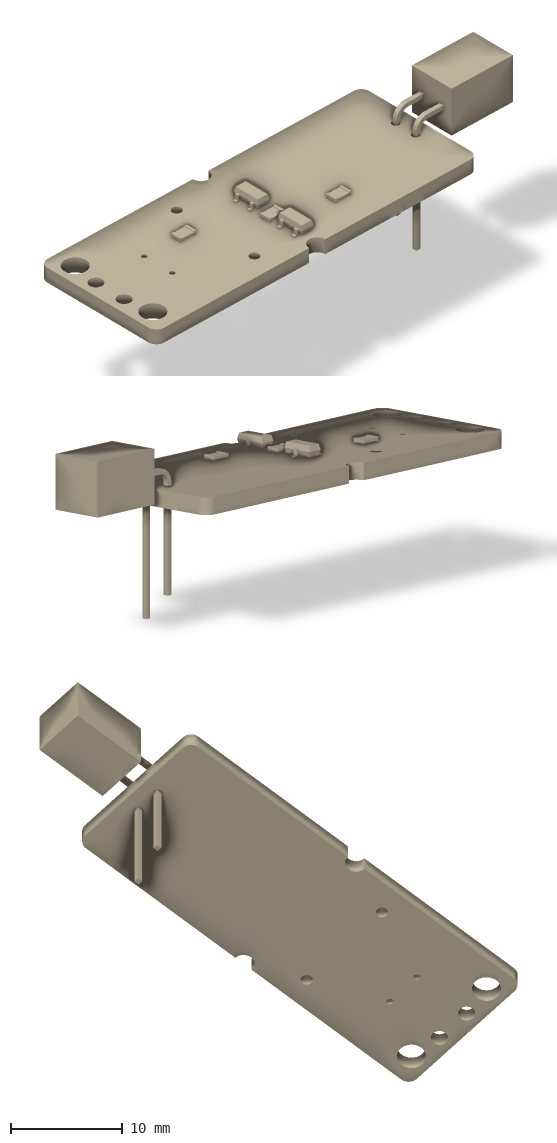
import cadquery as cq
import math

BOARD_WIDTH = 15.0
BOARD_LENGTH = 40.0
BOARD_THICKNESS = 1.6
CORNER_RADIUS = 1.0
NOTCH_RADIUS = 1.0

MOUNTING_HOLES = (5.0, 2.0, 2.6)
WIRE_HOLES = (1.8, 1.5, 1.5)
PEG_HOLES = (5.0, 14.6, 1.1)
VIA_HOLES = (1.8, 7.5, 0.6)

OVERALL_LENGTH = 49.05
BLOCK_WIDTH = 5.1
BLOCK_LENGTH = 7.6
BLOCK_HEIGHT = 5.1
BLOCK_BOTTOM = 0.6
LEAD_THICKNESS = 0.5
LEAD_OFFSET = 1.3
LEAD_HOLE_DIAMETER = 0.9
LEAD_HOLE_Y = 38.2
LEAD_Y = 38.3
LEAD_BEND_RADIUS = 1.2
LONG_LEAD_BOTTOM = -10.85
SHORT_LEAD_BOTTOM = -8.35

CHIP_WIDTH = 1.25
CHIP_LENGTH = 1.95
CHIP_HEIGHT = 0.45
CHIP_TERMINAL_LENGTH = 0.3
CHIP_BODY_STEP = 0.075
CHIP_CENTERS = [(3.5, 26.55), (1.55, 20.15), (-1.65, 12.25)]

CASE_LENGTH = 2.8
CASE_WIDTH = 1.25
CASE_RIDGE = 0.125
CASE_CLEARANCE = 0.1
CASE_TOP = 1.2
LEG_WIDTH = 0.4
LEG_THICKNESS = 0.15
LEG_SHIN_REACH = 1.0
LEG_FOOT_REACH = 1.3
LEG_PITCH = 0.95
TRANSISTOR_CENTERS = [(-1.35, 20.4), (4.3, 20.4)]


def make_board():
    board = (
        cq.Workplane("XY")
        .box(BOARD_WIDTH, BOARD_LENGTH, BOARD_THICKNESS, centered=(True, False, False))
        .edges("|Z")
        .fillet(CORNER_RADIUS)
    )
    lead_holes = (LEAD_OFFSET, LEAD_HOLE_Y, LEAD_HOLE_DIAMETER)
    edge_notches = (BOARD_WIDTH / 2, BOARD_LENGTH / 2, 2 * NOTCH_RADIUS)
    for offset, y, diameter in (
        MOUNTING_HOLES, WIRE_HOLES, PEG_HOLES, VIA_HOLES, lead_holes, edge_notches,
    ):
        cutters = (
            cq.Workplane("XY")
            .pushPoints([(-offset, y), (offset, y)])
            .circle(diameter / 2)
            .extrude(BOARD_THICKNESS)
        )
        board = board.cut(cutters)
    return board


def make_lead(x, bottom):
    """Square lead that leaves the block level, then bends down through the board."""
    block_face = OVERALL_LENGTH - BLOCK_LENGTH
    level = BLOCK_BOTTOM + BLOCK_HEIGHT / 2
    half = LEAD_THICKNESS / 2
    bend_y = LEAD_Y + LEAD_BEND_RADIUS
    bend_z = level - LEAD_BEND_RADIUS
    outer_reach = (LEAD_BEND_RADIUS + half) * math.sqrt(0.5)
    inner_reach = (LEAD_BEND_RADIUS - half) * math.sqrt(0.5)
    return (
        cq.Workplane("YZ", origin=(x, 0, 0))
        .moveTo(block_face, level + half)
        .lineTo(bend_y, level + half)
        .threePointArc((bend_y - outer_reach, bend_z + outer_reach), (LEAD_Y - half, bend_z))
        .lineTo(LEAD_Y - half, bottom)
        .lineTo(LEAD_Y + half, bottom)
        .lineTo(LEAD_Y + half, bend_z)
        .threePointArc((bend_y - inner_reach, bend_z + inner_reach), (bend_y, level - half))
        .lineTo(block_face, level - half)
        .close()
        .extrude(half, both=True)
    )


def make_block_component():
    block = cq.Workplane("XY", origin=(0, OVERALL_LENGTH - BLOCK_LENGTH, BLOCK_BOTTOM)).box(
        BLOCK_WIDTH, BLOCK_LENGTH, BLOCK_HEIGHT, centered=(True, False, False)
    )
    short_lead = make_lead(-LEAD_OFFSET, SHORT_LEAD_BOTTOM)
    long_lead = make_lead(LEAD_OFFSET, LONG_LEAD_BOTTOM)
    return block.union(short_lead).union(long_lead)


def make_chip(x, y):
    """Chip resistor: a thinner middle between two end terminals that rest on the board."""
    middle_height = CHIP_HEIGHT - 2 * CHIP_BODY_STEP
    terminal_y = (CHIP_LENGTH - CHIP_TERMINAL_LENGTH) / 2
    middle = cq.Workplane("XY", origin=(x, y, BOARD_THICKNESS + CHIP_BODY_STEP)).box(
        CHIP_WIDTH,
        CHIP_LENGTH - 2 * CHIP_TERMINAL_LENGTH,
        middle_height,
        centered=(True, True, False),
    )
    terminals = (
        cq.Workplane("XY", origin=(x, y, BOARD_THICKNESS))
        .pushPoints([(0, -terminal_y), (0, terminal_y)])
        .rect(CHIP_WIDTH, CHIP_TERMINAL_LENGTH)
        .extrude(CHIP_HEIGHT)
    )
    return middle.union(terminals)


def make_case():
    """Case half above and half below a ridge that runs round its middle."""
    half_height = (CASE_TOP - CASE_CLEARANCE) / 2
    ridge_size = (CASE_LENGTH + 2 * CASE_RIDGE, CASE_WIDTH + 2 * CASE_RIDGE)
    draft = math.degrees(math.atan(CASE_RIDGE / half_height))
    ridge = cq.Workplane("XY", origin=(0, 0, CASE_CLEARANCE + half_height))
    upper = ridge.rect(*ridge_size).extrude(half_height, taper=draft)
    lower = ridge.rect(*ridge_size).extrude(-half_height, taper=draft)
    return upper.union(lower)


def make_leg(x, side):
    """Bent strip from the ridge of the case, down to a foot; side is the sign of its Y direction."""
    middle = (CASE_TOP + CASE_CLEARANCE) / 2
    half = LEG_THICKNESS / 2
    shin_inner = LEG_SHIN_REACH - LEG_THICKNESS
    profile = [
        (0, middle + half),
        (LEG_SHIN_REACH, middle + half),
        (LEG_SHIN_REACH, LEG_THICKNESS),
        (LEG_FOOT_REACH, LEG_THICKNESS),
        (LEG_FOOT_REACH, 0),
        (shin_inner, 0),
        (shin_inner, middle - half),
        (0, middle - half),
    ]
    return (
        cq.Workplane("YZ", origin=(x, 0, 0))
        .polyline([(side * reach, height) for reach, height in profile])
        .close()
        .extrude(LEG_WIDTH / 2, both=True)
    )


def make_transistor(x, y):
    transistor = make_case()
    for leg_x, side in [(0, 1), (-LEG_PITCH, -1), (LEG_PITCH, -1)]:
        transistor = transistor.union(make_leg(leg_x, side))
    return transistor.translate((x, y, BOARD_THICKNESS))


board = make_board()
block_component = make_block_component()
chips = [make_chip(x, y).val() for x, y in CHIP_CENTERS]
transistors = [make_transistor(x, y).val() for x, y in TRANSISTOR_CENTERS]

result = cq.Compound.makeCompound([board.val(), block_component.val(), *chips, *transistors])